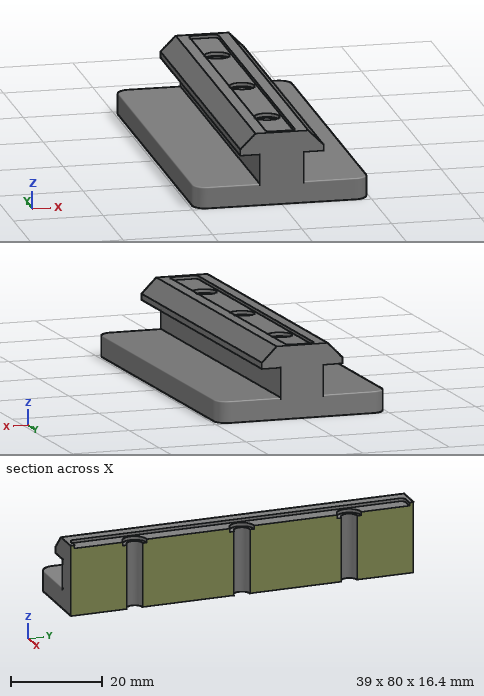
import cadquery as cq

plate_width = 39.0
plate_length = 80.0
plate_thickness = 4.9
plate_corner_radius = 3.0
plate_edge_fillet = 0.3

total_height = 16.4
stem_width = 9.8
head_width = 18.6
head_top_width = 11.8
head_height = 4.8
head_bevel_height = 3.4

pocket_width = 6.5
pocket_end_margin = 1.0
pocket_length = plate_length - 2 * pocket_end_margin
pocket_depth = 0.7
pocket_corner_radius = 1.0

hole_count = 3
hole_spacing = 25.0
hole_diameter = 3.7
counterbore_diameter = 5.5
counterbore_depth = 0.8


def make_plate():
    """Rounded plate with its bottom face at Z = 0 and both rims filleted."""
    return (
        cq.Workplane("XY")
        .rect(plate_width, plate_length)
        .extrude(plate_thickness)
        .edges("|Z")
        .fillet(plate_corner_radius)
        .faces("<Z or >Z")
        .edges()
        .fillet(plate_edge_fillet)
    )


def make_rail():
    """Stem and bevelled head, running the full length of the plate."""
    stem_bottom = plate_thickness / 2
    head_bottom = total_height - head_height
    bevel_bottom = total_height - head_bevel_height
    half_profile = [
        (0, stem_bottom),
        (stem_width / 2, stem_bottom),
        (stem_width / 2, head_bottom),
        (head_width / 2, head_bottom),
        (head_width / 2, bevel_bottom),
        (head_top_width / 2, total_height),
        (0, total_height),
    ]
    return (
        cq.Workplane("XZ")
        .polyline(half_profile)
        .mirrorY()
        .extrude(plate_length / 2, both=True)
    )


def make_pocket():
    """Cutter for the round-cornered pocket in the rail top."""
    return (
        cq.Workplane("XY", origin=(0, 0, total_height - pocket_depth))
        .rect(pocket_width, pocket_length)
        .extrude(pocket_depth)
        .edges("|Z")
        .fillet(pocket_corner_radius)
    )


def make_holes():
    """Cutters for the row of through holes and their counterbores."""
    row = [(0, (i - (hole_count - 1) / 2) * hole_spacing) for i in range(hole_count)]
    counterbore_floor = total_height - pocket_depth - counterbore_depth
    through_holes = (
        cq.Workplane("XY")
        .pushPoints(row)
        .circle(hole_diameter / 2)
        .extrude(total_height)
    )
    counterbores = (
        cq.Workplane("XY", origin=(0, 0, counterbore_floor))
        .pushPoints(row)
        .circle(counterbore_diameter / 2)
        .extrude(total_height - counterbore_floor)
    )
    return through_holes.union(counterbores)


result = make_plate().union(make_rail()).cut(make_pocket()).cut(make_holes())